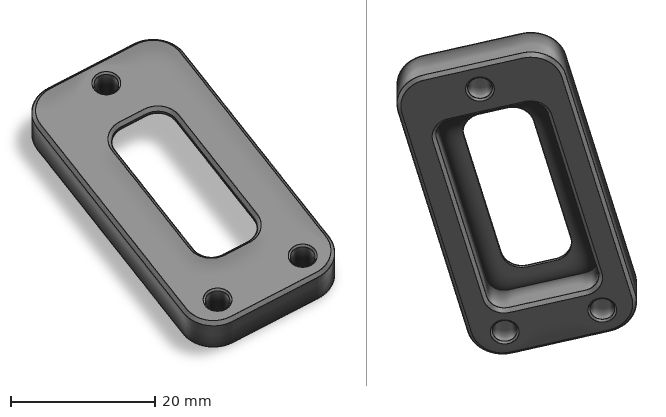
import cadquery as cq

length = 47.4
width = 24.0
thickness = 6.0
corner_radius = 5.0
edge_chamfer = 0.5

window_length = 26.0
window_width = 10.0
window_radius = 3.0
window_offset = 0.35

pocket_setback = 3.0
pocket_radius = 2.5
lip_thickness = 1.0
pocket_length = window_length + 2 * pocket_setback
pocket_width = window_width + 2 * pocket_setback

hole_diameter = 3.4
hole_chamfer = 0.3
hole_x = 19.75
hole_pair_spacing = 14.0
hole_positions = [
    (-hole_x, 0),
    (hole_x, hole_pair_spacing / 2),
    (hole_x, -hole_pair_spacing / 2),
]


def rounded_block(block_length, block_width, radius):
    """Full-thickness block with rounded vertical corners."""
    return cq.Workplane("XY").box(block_length, block_width, thickness).edges("|Z").fillet(radius)


def chamfered_hole(x, y):
    """Cutter for a through hole with a chamfer at both mouths."""
    half_thickness = thickness / 2
    radius = hole_diameter / 2
    mouth_radius = radius + hole_chamfer
    profile = (
        cq.Workplane("XZ")
        .moveTo(0, -half_thickness)
        .lineTo(mouth_radius, -half_thickness)
        .lineTo(radius, -half_thickness + hole_chamfer)
        .lineTo(radius, half_thickness - hole_chamfer)
        .lineTo(mouth_radius, half_thickness)
        .lineTo(0, half_thickness)
        .close()
    )
    return profile.revolve(360, (0, 0), (0, 1)).translate((x, y, 0))


plate = rounded_block(length, width, corner_radius)
window = rounded_block(window_length, window_width, window_radius).translate((window_offset, 0, 0))
pocket = rounded_block(pocket_length, pocket_width, pocket_radius).translate(
    (window_offset, 0, -lip_thickness)
)

result = plate.cut(window).cut(pocket).faces("<Z or >Z").edges().chamfer(edge_chamfer)

for x, y in hole_positions:
    result = result.cut(chamfered_hole(x, y))